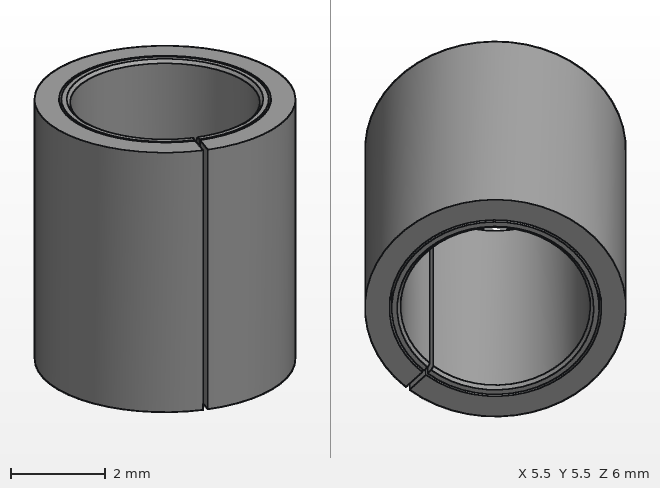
import cadquery as cq

LENGTH = 6.0
SLEEVE_OUTER_DIAMETER = 5.5
SLEEVE_WALL = 0.515
RADIAL_GAP = 0.05
LINER_WALL = 0.185
SLIT_WIDTH = 0.1
CHAMFER = 0.07

SLEEVE_OUTER_RADIUS = SLEEVE_OUTER_DIAMETER / 2
SLEEVE_INNER_RADIUS = SLEEVE_OUTER_RADIUS - SLEEVE_WALL
LINER_OUTER_RADIUS = SLEEVE_INNER_RADIUS - RADIAL_GAP
BORE_RADIUS = LINER_OUTER_RADIUS - LINER_WALL
CHAMFER_RADIUS = BORE_RADIUS + CHAMFER


def cut_slit(ring):
    """Split the +X wall of a ring along its full length."""
    slit = cq.Workplane("XY").box(
        SLEEVE_OUTER_RADIUS + SLIT_WIDTH, SLIT_WIDTH, LENGTH, centered=(False, True, False)
    )
    return ring.cut(slit)


def make_sleeve():
    """Thick outer split sleeve."""
    ring = cq.Workplane("XY").circle(SLEEVE_OUTER_RADIUS).circle(SLEEVE_INNER_RADIUS).extrude(LENGTH)
    return cut_slit(ring)


def make_liner():
    """Thin inner split liner with its bore chamfered at both ends."""
    profile = (
        cq.Workplane("XZ")
        .moveTo(LINER_OUTER_RADIUS, 0)
        .lineTo(LINER_OUTER_RADIUS, LENGTH)
        .lineTo(CHAMFER_RADIUS, LENGTH)
        .lineTo(BORE_RADIUS, LENGTH - CHAMFER)
        .lineTo(BORE_RADIUS, CHAMFER)
        .lineTo(CHAMFER_RADIUS, 0)
        .close()
    )
    ring = profile.revolve(360, (0, 0, 0), (0, 1, 0))
    return cut_slit(ring)


sleeve = make_sleeve()
liner = make_liner()

result = cq.Compound.makeCompound([sleeve.val(), liner.val()])